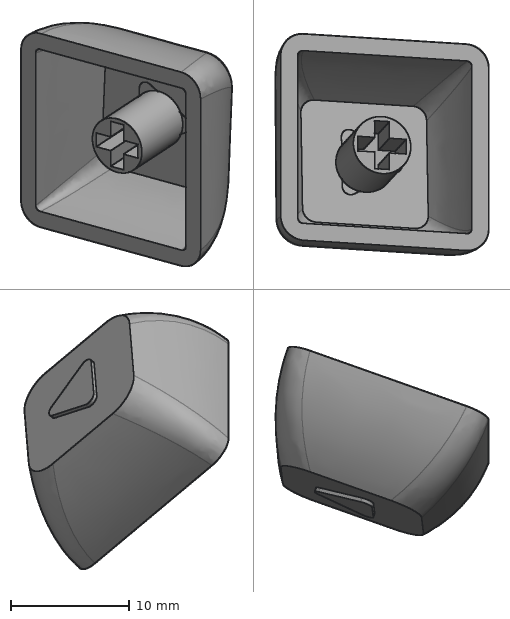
import cadquery as cq
import math

cap_width = 18.1
total_height = 9.41
crown_tilt = 4.0

rim_corner_radius = 2.0
crown_half_width = 6.34
crown_corner_radius = 2.72

mouth_half_width = 7.57
mouth_corner_radius = 0.45
floor_half_width = 5.47
floor_corner_radius = 1.18
crown_thickness = 1.5

stem_diameter = 5.0
stem_recess = 1.0
cross_length = 4.2
cross_width = 1.29
cross_depth = 3.98

inlay_inradius = 1.97
inlay_corner_radius = 0.69
inlay_protrusion = 0.36

section_count = 5

tilt = math.radians(crown_tilt)
inlay_half_height = (inlay_inradius - inlay_corner_radius) * math.sqrt(3) + inlay_corner_radius
crown_height = total_height - inlay_half_height * math.sin(tilt) - inlay_protrusion * math.cos(tilt)
floor_height = crown_height - crown_thickness / math.cos(tilt)


def tilted_plane(height, angle):
    """Plane facing +Y at a height on the Y axis, tilted about X by an angle in degrees."""
    a = math.radians(angle)
    return cq.Plane(
        origin=(0, height, 0),
        xDir=(1, 0, 0),
        normal=(0, math.cos(a), -math.sin(a)),
    )


def rounded_square(height, angle, half_width, corner_radius):
    """Closed wire of a rounded square on a tilted plane."""
    plane = tilted_plane(height, angle)
    square = cq.Workplane(plane).rect(2 * half_width, 2 * half_width).wires().val()
    return square.fillet2D(corner_radius, square.Vertices())


def domed_body(height, start_half, end_half, start_radius, end_radius):
    """Loft whose walls start square to the rim and bend inward along a circular arc."""
    inset = start_half - end_half
    arc_radius = (height**2 + inset**2) / (2 * inset)
    wires = []
    for i in range(section_count):
        fraction = i / (section_count - 1)
        level = fraction * height
        half_width = start_half - arc_radius + math.sqrt(arc_radius**2 - level**2)
        corner_radius = start_radius + fraction * (end_radius - start_radius)
        wires.append(rounded_square(level, fraction * crown_tilt, half_width, corner_radius))
    return cq.Workplane(obj=cq.Solid.makeLoft(wires))


def make_stem():
    """Round post from the cavity floor, with a cross socket in its free end."""
    stem_plane = cq.Plane(origin=(0, stem_recess, 0), xDir=(1, 0, 0), normal=(0, 1, 0))
    post_length = crown_height - stem_recess
    post = cq.Workplane(stem_plane).circle(stem_diameter / 2).extrude(post_length)
    above_floor = (
        cq.Workplane(tilted_plane(floor_height, crown_tilt))
        .rect(cap_width, cap_width)
        .extrude(total_height)
    )
    socket = (
        cq.Workplane(stem_plane)
        .rect(cross_length, cross_width)
        .extrude(cross_depth)
        .union(cq.Workplane(stem_plane).rect(cross_width, cross_length).extrude(cross_depth))
    )
    return post.cut(above_floor).cut(socket)


def make_inlay():
    """Rounded triangle pointing to +X, from the cavity floor to just above the crown."""
    corner_distance = 2 * inlay_inradius
    thickness = crown_thickness + inlay_protrusion
    base = tilted_plane(crown_height, crown_tilt)
    return (
        cq.Workplane(base)
        .workplane(offset=-crown_thickness)
        .polygon(3, 2 * corner_distance)
        .extrude(thickness)
        .edges(cq.selectors.ParallelDirSelector(base.zDir))
        .fillet(inlay_corner_radius)
    )


def make_cap(inlay):
    """Hollow cap with its stem and a matching opening for the inlay."""
    outer = domed_body(
        crown_height, cap_width / 2, crown_half_width, rim_corner_radius, crown_corner_radius
    )
    cavity = domed_body(
        floor_height, mouth_half_width, floor_half_width, mouth_corner_radius, floor_corner_radius
    )
    return outer.cut(cavity).cut(inlay).union(make_stem())


inlay = make_inlay()
cap = make_cap(inlay)

result = cq.Compound.makeCompound([cap.solids().val(), inlay.val()])